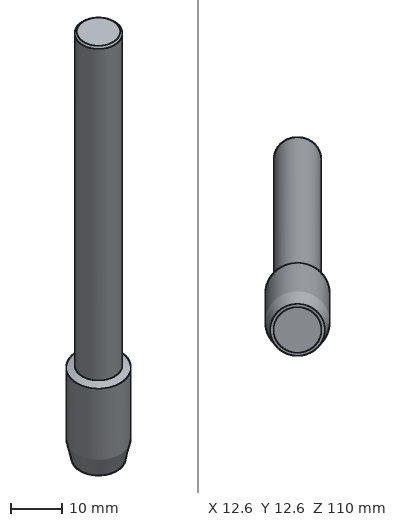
import cadquery as cq

total_length = 110
rod_diameter = 9.4
rod_chamfer = 0.4
sleeve_diameter = 12.6
sleeve_length = 24.0

taper_end_diameter = 10.7
taper_length = 5.0
shoulder_height = 0.7

rod_radius = rod_diameter / 2
sleeve_radius = sleeve_diameter / 2


def make_rod():
    """Straight rod along Z with a chamfered upper end."""
    return (
        cq.Workplane("XY")
        .circle(rod_radius)
        .extrude(total_length)
        .faces(">Z")
        .chamfer(rod_chamfer)
    )


def make_sleeve():
    """Turned sleeve around the lower end of the rod, bored to fit it."""
    return (
        cq.Workplane("XZ")
        .moveTo(rod_radius, 0)
        .lineTo(taper_end_diameter / 2, 0)
        .lineTo(sleeve_radius, taper_length)
        .lineTo(sleeve_radius, sleeve_length - shoulder_height)
        .lineTo(rod_radius, sleeve_length)
        .close()
        .revolve(360, (0, 0, 0), (0, 1, 0))
    )


rod = make_rod()
sleeve = make_sleeve()

result = cq.Compound.makeCompound([rod.val(), sleeve.val()])